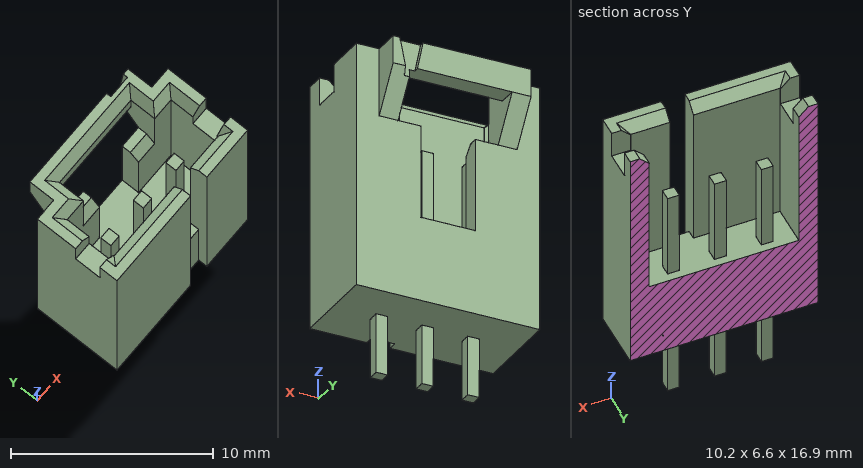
import cadquery as cq

width = 10.17
depth = 5.08
height = 13.6
wall_lip = 0.52
lead_in = 0.52
wall = wall_lip + lead_in
floor_top = 4.68

hood_width = 7.63
hood_depth = 1.52
hood_face_height = 1.54
hood_height = 3.78
hood_back = depth + hood_depth
sill = height - hood_height

key_left = 0.65
key_width = 1.27
rear_slot_width = 3.02
side_notch_front = 1.1
side_notch_width = 1.54
side_notch_depth = 1.54

mark_center = 2.8
mark_width = 1.28
mark_height = 3.15
mark_depth = 0.27

pin_count = 3
pin_pitch = 2.53
pin_size = 0.65
pin_length = 16.89 - height
pin_y = depth / 2
pin_top = sill


def box(x, y, z):
    """Box spanning the given (low, high) pairs."""
    size = (x[1] - x[0], y[1] - y[0], z[1] - z[0])
    return cq.Workplane("XY").box(*size, centered=False).translate((x[0], y[0], z[0]))


def centered_box(x_size, y, z):
    return box((-x_size / 2, x_size / 2), y, z)


def tee_section(inset, z):
    """Wire of the housing and hood outline, moved inward by the inset."""
    half_width = width / 2 - inset
    half_hood = hood_width / 2 - inset
    shoulder = depth - inset
    return cq.Workplane("XY", origin=(0, 0, z)).polyline([
        (-half_width, inset),
        (half_width, inset),
        (half_width, shoulder),
        (half_hood, shoulder),
        (half_hood, hood_back - inset),
        (-half_hood, hood_back - inset),
        (-half_hood, shoulder),
        (-half_width, shoulder),
    ]).close().wire().val()


def make_lead_in():
    """Funnel at the mouth, following the T-shaped cavity."""
    return cq.Workplane(cq.Solid.makeLoft(
        [tee_section(wall, height - lead_in), tee_section(wall_lip, height)], True
    ))


def make_hood():
    profile = [
        (depth, sill),
        (hood_back, height - hood_face_height),
        (hood_back, height),
        (depth, height),
    ]
    return cq.Workplane("YZ").polyline(profile).close().extrude(hood_width / 2, both=True)


def make_sill_lead_in():
    """Chamfer wedge along the inner edge of the rear wall under the hood."""
    inner = depth - wall
    profile = [(inner, sill - lead_in), (inner + lead_in, sill), (inner, sill)]
    opening = hood_width - 2 * wall
    return cq.Workplane("YZ").polyline(profile).close().extrude(opening / 2, both=True)


def make_mark():
    outline = [
        (mark_center - mark_width / 2, height),
        (mark_center + mark_width / 2, height),
        (mark_center, height - mark_height),
    ]
    plane = cq.Workplane("XZ", origin=(0, hood_back, 0))
    return plane.polyline(outline).close().extrude(mark_depth)


body = centered_box(width, (0, depth), (0, height)).union(make_hood())

hood_opening = hood_width - 2 * wall
body = body.cut(centered_box(width - 2 * wall, (wall, depth - wall), (floor_top, height)))
body = body.cut(centered_box(hood_opening, (depth - wall, hood_back - wall), (sill, height)))
body = body.cut(centered_box(hood_opening, (depth - wall, hood_back), (sill, height - hood_face_height)))
body = body.cut(make_lead_in()).cut(make_sill_lead_in())

body = body.cut(centered_box(rear_slot_width, (depth - wall, depth), (floor_top, sill)))

key_x = (key_left, key_left + key_width)
body = body.cut(box(key_x, (0, wall), (floor_top, height)))
body = body.cut(box(key_x, (0, wall_lip), (0, floor_top)))

side_notch_y = (side_notch_front, side_notch_front + side_notch_width)
body = body.cut(centered_box(width, side_notch_y, (height - side_notch_depth, height)))

body = body.cut(make_mark())

for index in range(pin_count):
    pin_x = (index - (pin_count - 1) / 2) * pin_pitch
    pin = box(
        (pin_x - pin_size / 2, pin_x + pin_size / 2),
        (pin_y - pin_size / 2, pin_y + pin_size / 2),
        (-pin_length, pin_top),
    )
    body = body.union(pin)

result = body